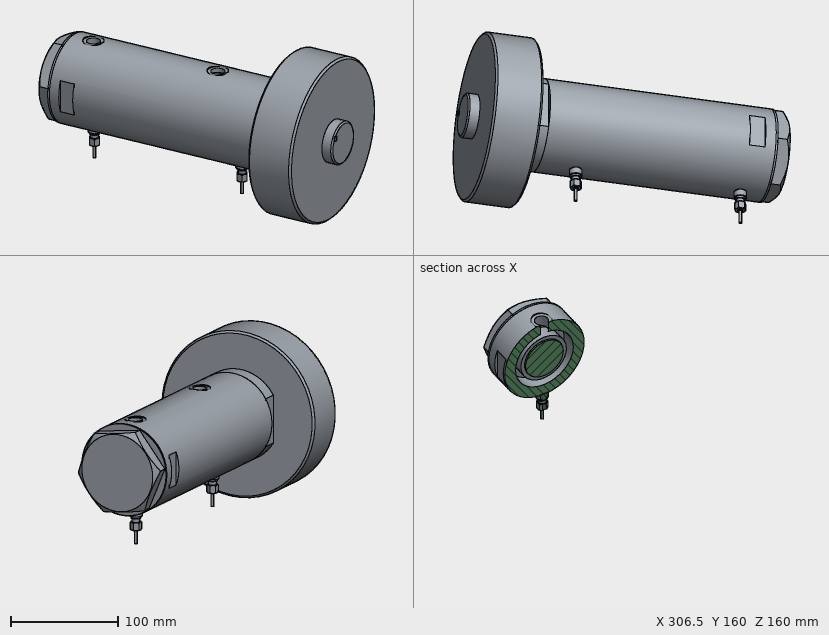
import cadquery as cq
import math


HEX_END = 13.5
BARREL_START = 15.4
CAP_PLUG_END = 27.0
CAP_NECK_END = 41.2
GLAND_START = 171.2
BARREL_END = 233.0
FLANGE_START = 249.0
FLANGE_WIDTH = 46.0
FLANGE_END = FLANGE_START + FLANGE_WIDTH
ROD_END = 306.0

BARREL_DIAMETER = 88.0
BARREL_RADIUS = BARREL_DIAMETER / 2
BORE_DIAMETER = 63.0
GLAND_SEAT_DIAMETER = 78.0
GLAND_SEAT_START = 163.0
BARREL_FLAT_START = 25.4
BARREL_FLAT_LENGTH = 15.0
BARREL_FLAT_SPACING = 82.0

PORT_STATIONS = (37.5, GLAND_START)
PORT_DIAMETER = 13.2
PORT_FACE_DIAMETER = 20.0
PORT_FACE_DEPTH = 1.0

CAP_ACROSS_FLATS = 75.0
CAP_TURN = 7.5
CAP_FACE_DIAMETER = 74.0
CAP_CHAMFER_ANGLE = 35.0
CAP_NECK_DIAMETER = 50.0

GLAND_FLAT_SPACING = 75.0
FLANGE_DIAMETER = 160.0
FLANGE_CHAMFER = 2.0
ROD_DIAMETER = 42.0
ROD_CHAMFER = 1.5

PAD_Y = -15.0
PAD_Z = 10.8
PAD_DIAMETER = 5.5
PAD_HEIGHT = 0.47

SENSOR_STATIONS = (38.6, 197.2)
SENSOR_SEAT_Z = -43.5
SENSOR_SHANK_DIAMETER = 8.0
SENSOR_SHANK_TOP_Z = -40.0
SENSOR_COLLAR_DIAMETER = 12.0
SENSOR_COLLAR_LENGTH = 6.2
SENSOR_STEP_DIAMETER = 9.6
SENSOR_STEP_LENGTH = 2.0
SENSOR_NECK_DIAMETER = 7.5
SENSOR_NECK_LENGTH = 3.6
SENSOR_NUT_ACROSS_FLATS = 9.5
SENSOR_NUT_LENGTH = 7.8
SENSOR_NUT_CHAMFER = 0.8
SENSOR_TIP_DIAMETER = 5.0
SENSOR_TIP_LENGTH = 0.8
SENSOR_CABLE_DIAMETER = 2.8
SENSOR_BOTTOM_Z = -76.5

SQRT_3 = math.sqrt(3)


def rod_along_x(diameter, start, end):
    """Cylinder on the main axis between two X stations."""
    return cq.Workplane("YZ", origin=(start, 0, 0)).circle(diameter / 2).extrude(end - start)


def pin_down(x, diameter, top, bottom):
    """Vertical cylinder at station x, from z = top down to z = bottom."""
    return cq.Workplane("XY", origin=(x, 0, bottom)).circle(diameter / 2).extrude(top - bottom)


def two_flats(body, spacing, start, length):
    """Mill two flats facing -Y and +Y, `spacing` apart."""
    depth = BARREL_RADIUS
    for side in (-1, 1):
        centre = (start + length / 2, side * (spacing + depth) / 2, 0)
        body = body.cut(cq.Workplane(origin=centre).box(length, depth, BARREL_DIAMETER))
    return body


def make_cap():
    corner_radius = CAP_ACROSS_FLATS / SQRT_3
    face_radius = CAP_FACE_DIAMETER / 2
    hexagon = (
        cq.Workplane("YZ")
        .polygon(6, 2 * corner_radius)
        .extrude(HEX_END)
        .rotate((0, 0, 0), (1, 0, 0), -CAP_TURN)
    )
    bevel_length = (corner_radius - face_radius) * math.tan(math.radians(CAP_CHAMFER_ANGLE))
    envelope = (
        cq.Workplane("XY")
        .moveTo(0, 0)
        .lineTo(0, face_radius)
        .lineTo(bevel_length, corner_radius)
        .lineTo(HEX_END, corner_radius)
        .lineTo(HEX_END, 0)
        .close()
        .revolve(360, (0, 0, 0), (1, 0, 0))
    )
    rim = rod_along_x(BARREL_DIAMETER, HEX_END, BARREL_START)
    plug = rod_along_x(BORE_DIAMETER, BARREL_START, CAP_PLUG_END)
    neck = rod_along_x(CAP_NECK_DIAMETER, CAP_PLUG_END, CAP_NECK_END)
    return hexagon.intersect(envelope).union(rim).union(plug).union(neck)


def make_barrel():
    body = rod_along_x(BARREL_DIAMETER, BARREL_START, BARREL_END)
    body = body.cut(rod_along_x(BORE_DIAMETER, BARREL_START, GLAND_SEAT_START))
    body = body.cut(rod_along_x(GLAND_SEAT_DIAMETER, GLAND_SEAT_START, BARREL_END))
    body = two_flats(body, BARREL_FLAT_SPACING, BARREL_FLAT_START, BARREL_FLAT_LENGTH)
    for x in PORT_STATIONS:
        face_z = BARREL_RADIUS - PORT_FACE_DEPTH
        body = body.cut(pin_down(x, PORT_FACE_DIAMETER, BARREL_RADIUS, face_z))
        body = body.cut(pin_down(x, PORT_DIAMETER, face_z, 0))
    for x in SENSOR_STATIONS:
        body = body.cut(pin_down(x, SENSOR_COLLAR_DIAMETER, SENSOR_SEAT_Z, -BARREL_RADIUS))
        body = body.cut(pin_down(x, SENSOR_SHANK_DIAMETER, SENSOR_SHANK_TOP_Z, SENSOR_SEAT_Z))
    return body


def make_gland():
    spigot = rod_along_x(GLAND_SEAT_DIAMETER, GLAND_START, BARREL_END)
    collar = rod_along_x(BARREL_DIAMETER, BARREL_END, FLANGE_START)
    collar = two_flats(collar, GLAND_FLAT_SPACING, BARREL_END, FLANGE_START - BARREL_END)
    return spigot.union(collar).cut(rod_along_x(ROD_DIAMETER, GLAND_START, FLANGE_START))


def make_flange():
    disc = rod_along_x(FLANGE_DIAMETER, FLANGE_START, FLANGE_END)
    disc = disc.faces("<X or >X").chamfer(FLANGE_CHAMFER)
    return disc.cut(rod_along_x(ROD_DIAMETER, FLANGE_START, FLANGE_END))


def make_rod():
    shaft = rod_along_x(ROD_DIAMETER, CAP_NECK_END, ROD_END).faces(">X").chamfer(ROD_CHAMFER)
    pad = cq.Workplane("YZ", origin=(ROD_END, PAD_Y, PAD_Z)).circle(PAD_DIAMETER / 2).extrude(PAD_HEIGHT)
    return shaft.union(pad)


def make_sensor(x):
    """Stepped sensor hanging below its seat, with a hexagonal cable nut and a cable end."""
    collar_bottom = SENSOR_SEAT_Z - SENSOR_COLLAR_LENGTH
    step_bottom = collar_bottom - SENSOR_STEP_LENGTH
    neck_bottom = step_bottom - SENSOR_NECK_LENGTH
    nut_bottom = neck_bottom - SENSOR_NUT_LENGTH
    tip_bottom = nut_bottom - SENSOR_TIP_LENGTH

    nut_corner_diameter = 2 * SENSOR_NUT_ACROSS_FLATS / SQRT_3
    nut = (
        cq.Workplane("XY", origin=(x, 0, nut_bottom))
        .polygon(6, nut_corner_diameter)
        .extrude(SENSOR_NUT_LENGTH)
    )
    rounding = pin_down(x, nut_corner_diameter, neck_bottom, nut_bottom)
    nut = nut.intersect(rounding.faces("<Z or >Z").chamfer(SENSOR_NUT_CHAMFER))

    return (
        pin_down(x, SENSOR_SHANK_DIAMETER, SENSOR_SHANK_TOP_Z, SENSOR_SEAT_Z)
        .union(pin_down(x, SENSOR_COLLAR_DIAMETER, SENSOR_SEAT_Z, collar_bottom))
        .union(pin_down(x, SENSOR_STEP_DIAMETER, collar_bottom, step_bottom))
        .union(pin_down(x, SENSOR_NECK_DIAMETER, step_bottom, neck_bottom))
        .union(nut)
        .union(pin_down(x, SENSOR_TIP_DIAMETER, nut_bottom, tip_bottom))
        .union(pin_down(x, SENSOR_CABLE_DIAMETER, tip_bottom, SENSOR_BOTTOM_Z))
    )


cap = make_cap()
barrel = make_barrel()
gland = make_gland()
flange = make_flange()
rod = make_rod()
sensors = [make_sensor(x) for x in SENSOR_STATIONS]

result = cq.Compound.makeCompound(
    [
        cap.val(),
        barrel.val(),
        gland.val(),
        flange.val(),
        rod.val(),
        *[sensor.val() for sensor in sensors],
    ]
)